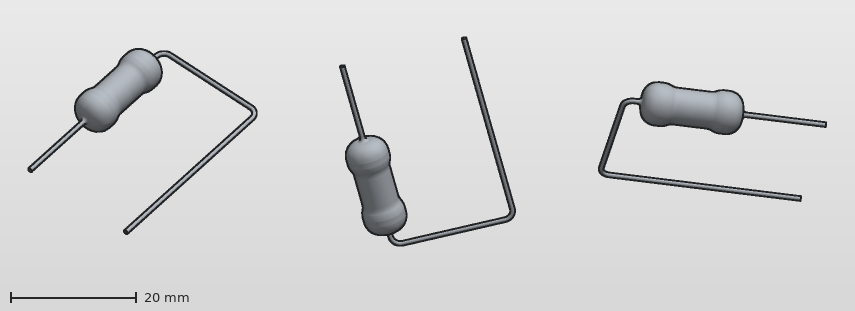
import cadquery as cq
import math

cap_radius = 3.492
waist_radius = 2.98
lead_radius = 0.4
waist_half_length = 2.75
cap_start = 4.75
cap_end = 5.75
collar_radius = 1.1
lead_pitch = 20.0
bend_radius = 1.6
overall_length = 33.1
top_edge = 11.32

dome_radius = cap_radius - collar_radius
dome_end = cap_end + dome_radius
flare_radius = collar_radius - lead_radius
flare_end = dome_end + flare_radius
cross_wire_y = top_edge - lead_radius
lead_tip_y = top_edge - overall_length
diagonal = math.sqrt(0.5)

blend_middle = ((cap_radius + waist_radius) / 2, (cap_start + waist_half_length) / 2)


def make_half_body():
    """Revolve the +Y half of the body, including the flare onto the lead."""
    profile = (
        cq.Workplane("XY")
        .lineTo(waist_radius, 0)
        .lineTo(waist_radius, waist_half_length)
        .tangentArcPoint(blend_middle, relative=False)
        .tangentArcPoint((cap_radius, cap_start), relative=False)
        .lineTo(cap_radius, cap_end)
        .threePointArc(
            (collar_radius + dome_radius * diagonal, cap_end + dome_radius * diagonal),
            (collar_radius, dome_end),
        )
        .threePointArc(
            (collar_radius - flare_radius * diagonal, flare_end - flare_radius * diagonal),
            (lead_radius, flare_end),
        )
        .lineTo(0, flare_end)
        .close()
    )
    return profile.revolve(360, (0, 0, 0), (0, 1, 0))


def make_wire():
    """Sweep one wire through the body, across, and back down beside it."""
    bend_start_y = cross_wire_y - bend_radius
    bend_inset = bend_radius * (1 - diagonal)
    path = (
        cq.Workplane("XY")
        .moveTo(0, lead_tip_y)
        .lineTo(0, bend_start_y)
        .threePointArc((bend_inset, cross_wire_y - bend_inset), (bend_radius, cross_wire_y))
        .lineTo(lead_pitch - bend_radius, cross_wire_y)
        .threePointArc(
            (lead_pitch - bend_inset, cross_wire_y - bend_inset),
            (lead_pitch, bend_start_y),
        )
        .lineTo(lead_pitch, lead_tip_y)
    )
    section = cq.Workplane("XZ", origin=(0, lead_tip_y, 0)).circle(lead_radius)
    return section.sweep(path)


half_body = make_half_body()
body = half_body.union(half_body.mirror("XZ"))
result = body.union(make_wire())